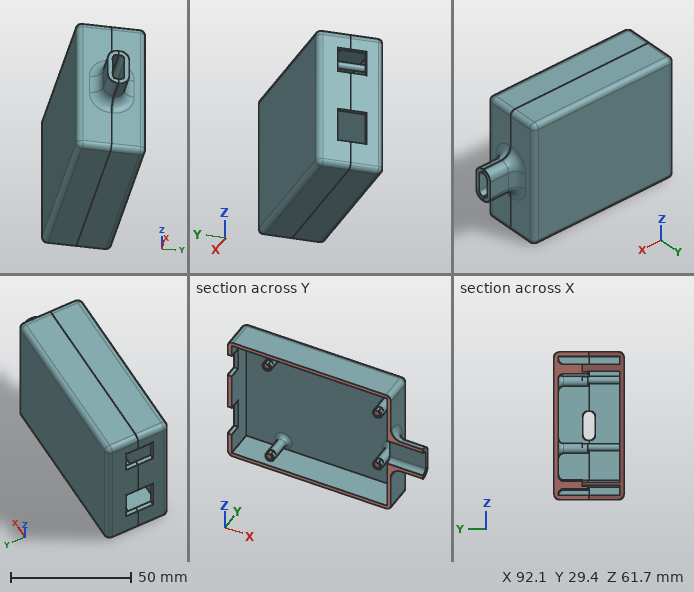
import cadquery as cq
import math

CASE_LENGTH = 77.07
CASE_DEPTH = 29.4
CASE_HEIGHT = 61.67
WALL = 2.0
EDGE_RADIUS = 2.5

NECK_LENGTH = 15.0
NECK_DEPTH = 9.0
NECK_HEIGHT = 16.0
NECK_CORNER_RADIUS = 4.0
NECK_ROOT_RADIUS = 5.0
SELECTION_MARGIN = 0.1

WINDOW_Y_MIN = -7.15
WINDOW_Y_MAX = 5.65
WINDOW_Z_RANGES = [(12.5, 23.3), (-19.0, -4.65)]

BOARD_X = 4.3
BOARD_HEIGHT = 53.34
BOARD_TOP_Z = BOARD_HEIGHT / 2
BOARD_HOLES = [(13.97, 2.54), (15.24, 50.8), (66.04, 7.62), (66.04, 35.56)]

PIN_DIAMETER = 3.0
SOCKET_DIAMETER = 4.2
SOCKET_HOLE_DIAMETER = 3.2
SOCKET_HOLE_DEPTH = 2.25
SOCKET_END_Y = 0.5
SOCKET_BASE_RADIUS = 2.0
SOCKET_DROP = 0.55

INNER_Y = CASE_DEPTH / 2 - WALL
POST_ROOT_Y = INNER_Y + WALL / 2
SOCKET_HOLE_END_Y = SOCKET_END_Y + SOCKET_HOLE_DEPTH
TOTAL_LENGTH = CASE_LENGTH + NECK_LENGTH
POST_CENTRES = [(BOARD_X + in_from_edge, BOARD_TOP_Z - down) for in_from_edge, down in BOARD_HOLES]


def box_between(x_range, y_range, z_range):
    """Box that fills the given X, Y and Z ranges."""
    size = [high - low for low, high in (x_range, y_range, z_range)]
    corner = (x_range[0], y_range[0], z_range[0])
    return cq.Workplane("XY").box(*size, centered=False).translate(corner)


def make_neck():
    """Bar along X with rounded corners, rooted in the +X end of the case."""
    neck = (
        cq.Workplane("YZ", origin=(CASE_LENGTH - WALL, 0, 0))
        .rect(NECK_DEPTH, NECK_HEIGHT)
        .extrude(NECK_LENGTH + WALL)
    )
    return neck.edges("|X").fillet(NECK_CORNER_RADIUS)


def make_cable_passage():
    """Passage through the neck that leaves an even wall around it."""
    passage = (
        cq.Workplane("YZ", origin=(CASE_LENGTH - 2 * WALL, 0, 0))
        .rect(NECK_DEPTH - 2 * WALL, NECK_HEIGHT - 2 * WALL)
        .extrude(NECK_LENGTH + 3 * WALL)
    )
    return passage.edges("|X").fillet(NECK_CORNER_RADIUS - WALL)


def make_shell():
    """Whole case before it is split into halves."""
    half_depth = CASE_DEPTH / 2
    half_height = CASE_HEIGHT / 2
    outside = box_between((0, CASE_LENGTH), (-half_depth, half_depth), (-half_height, half_height))
    outside = outside.edges().fillet(EDGE_RADIUS).union(make_neck())
    root_edges = cq.selectors.BoxSelector(
        (CASE_LENGTH - SELECTION_MARGIN, -NECK_DEPTH, -NECK_HEIGHT),
        (CASE_LENGTH + SELECTION_MARGIN, NECK_DEPTH, NECK_HEIGHT),
    )
    outside = outside.edges(root_edges).fillet(NECK_ROOT_RADIUS)

    inner_z = half_height - WALL
    cavity = box_between((WALL, CASE_LENGTH - WALL), (-INNER_Y, INNER_Y), (-inner_z, inner_z))
    shell = outside.cut(cavity).cut(make_cable_passage())
    for z_range in WINDOW_Z_RANGES:
        shell = shell.cut(box_between((-WALL, 2 * WALL), (WINDOW_Y_MIN, WINDOW_Y_MAX), z_range))
    return shell


def rod(x, z, diameter, y_start, y_end):
    """Cylinder along Y."""
    plane = cq.Plane(origin=(x, y_start, z), xDir=(0, 0, 1), normal=(0, 1, 0))
    return cq.Workplane(plane).circle(diameter / 2).extrude(y_end - y_start)


def make_socket_post(x, z):
    """Post that flares out in an arc at the +Y wall."""
    radius = SOCKET_DIAMETER / 2
    blend = SOCKET_BASE_RADIUS
    arc_offset = blend * (1 - math.cos(math.pi / 4))
    profile = (
        cq.Workplane("XY")
        .moveTo(0, SOCKET_END_Y)
        .lineTo(radius, SOCKET_END_Y)
        .lineTo(radius, INNER_Y - blend)
        .threePointArc((radius + arc_offset, INNER_Y - arc_offset), (radius + blend, INNER_Y))
        .lineTo(radius + blend, POST_ROOT_Y)
        .lineTo(0, POST_ROOT_Y)
        .close()
    )
    post = profile.revolve(360, (0, 0, 0), (0, 1, 0))
    return post.rotate((0, 0, 0), (0, 1, 0), -90).translate((x, 0, z))


def half_space(y_start, y_end):
    """Block that covers the whole case between two Y levels."""
    return box_between((-WALL, TOTAL_LENGTH + WALL), (y_start, y_end), (-CASE_HEIGHT, CASE_HEIGHT))


def make_socket_half(shell):
    """+Y half of the case, with the four socket posts."""
    half = shell.intersect(half_space(0, CASE_DEPTH))
    for x, z in POST_CENTRES:
        half = half.union(make_socket_post(x, z - SOCKET_DROP))
    for x, z in POST_CENTRES:
        half = half.cut(rod(x, z, SOCKET_HOLE_DIAMETER, 0, SOCKET_HOLE_END_Y))
    return half


def make_pin_half(shell):
    """-Y half of the case, with the four pins that enter the sockets."""
    half = shell.intersect(half_space(-CASE_DEPTH, 0))
    for x, z in POST_CENTRES:
        half = half.union(rod(x, z, PIN_DIAMETER, -POST_ROOT_Y, SOCKET_HOLE_END_Y))
    return half


shell = make_shell()
socket_half = make_socket_half(shell)
pin_half = make_pin_half(shell)

result = cq.Compound.makeCompound([socket_half.val(), pin_half.val()])